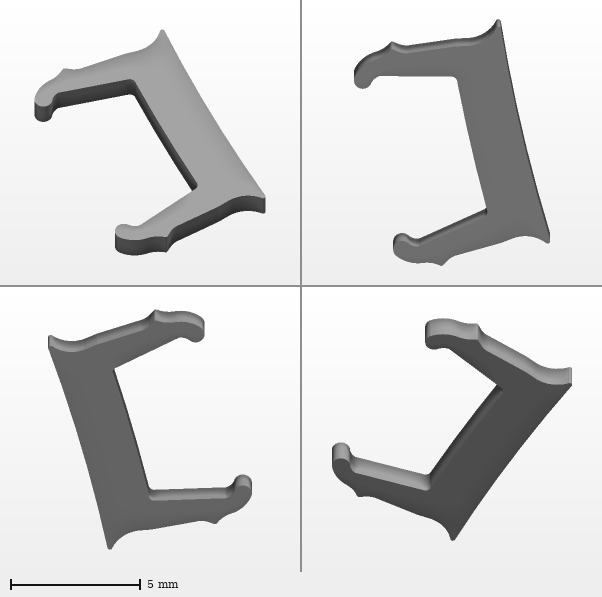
import cadquery as cq

width = 9.0
depth = 6.0
thickness = 1.0
half_width = width / 2
back_y = depth / 2
front_y = -depth / 2

back_sag = 0.14
underside_end = (-2.64, 0.89)
underside_sag = 0.045

horn_top = (-4.43, back_y)
horn_tip = (-half_width, 2.92)
horn_base = (-4.45, 2.82)
neck_middle = (-4.07, 2.28)
neck_end = (-4.0, 1.67)

leg_bend = (-4.09, 1.13)
leg_end = (-4.2, -0.58)
knee_hollow = (-4.23, -0.8)
knee_start = (-4.31, -1.0)
knee_top = (-4.47, -1.23)
knee_tip = (-half_width, -1.305)
knee_bottom = (-4.47, -1.37)
ankle_hollow = (-4.3, -1.665)
ankle = (-4.23, -1.96)

heel = (-4.1, -2.47)
sole_start = (-3.73, -2.93)
foot_bottom = (-3.54, front_y)
toe_top = (-3.34, -2.36)
instep_hollow = (-3.47, -2.205)
instep_end = (-3.55, -2.0)

inner_leg_end = (-2.925, 0.73)
inner_corner = (-2.835, 0.855)

left_outline = [
    (horn_tip, horn_base),
    (neck_middle, neck_end),
    (leg_bend,),
    (leg_end,),
    (knee_hollow, knee_start),
    (knee_top,),
    (knee_tip, knee_bottom),
    (ankle_hollow, ankle),
    (heel, sole_start),
    (foot_bottom, toe_top),
    (instep_hollow, instep_end),
    (inner_leg_end,),
    (inner_corner, underside_end),
]


def mirrored(point):
    """Reflect a point across the middle plane of the part."""
    return (-point[0], point[1])


def add_stretch(outline, points):
    """Continue the outline with a line or a three-point arc."""
    if len(points) == 1:
        return outline.lineTo(*points[0])
    return outline.threePointArc(*points)


def make_outline():
    outline = cq.Workplane("XY", origin=(0, 0, -thickness / 2)).moveTo(*horn_top)
    for stretch in left_outline:
        outline = add_stretch(outline, stretch)

    underside_middle = (0, underside_end[1] - underside_sag)
    outline = outline.threePointArc(underside_middle, mirrored(underside_end))

    starts = [horn_top] + [stretch[-1] for stretch in left_outline[:-1]]
    for start, stretch in zip(reversed(starts), reversed(left_outline)):
        arc_middle = stretch[:-1]
        outline = add_stretch(outline, [mirrored(point) for point in (*arc_middle, start)])

    return outline.threePointArc((0, back_y - back_sag), horn_top).close()


result = make_outline().extrude(thickness)